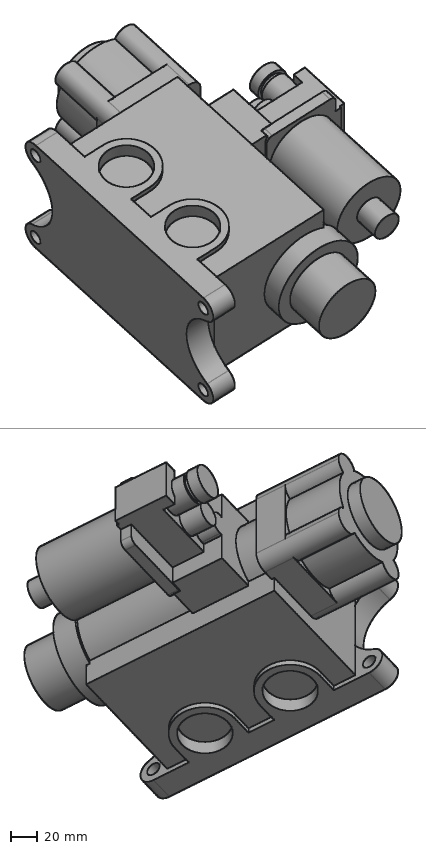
import cadquery as cq
import math


plate_length = 225.7
plate_height = 120.0
plate_thickness = 21.5
lug_radius = 12.2
bolt_hole_diameter = 11.5
scallop_depth = 32.3

block_length = 175.5
block_height = 110.5
block_back = 131.0
port_spacing = 79.5
port_axis_y = 40.0
port_boss_radius = 28.0
port_hole_diameter = 42.5
port_hole_depth = 12.5

spool_axis_y = 111.3
spool_body_radius = 36.7
end_cap_radius = 28.2
left_cap_start = -173.7
right_cap_end = left_cap_start + 313.5
left_housing_start = -162.0
left_housing_width = 81.2
left_housing_height = 82.0
left_housing_corner = 11.3
left_body_radius = 39.2
left_flange_start = -112.2
left_flange_end = -85.3
right_flange_radius = 39.5
right_flange_start = 84.3
right_flange_end = 105.0

bracket_start = -63.5
bracket_end = -11.5
bracket_back = 166.8
bracket_height = 71.0
head_start = -46.7
head_back = 232.5
head_height = 37.0
overhang_start = -57.0
overhang_front = 221.3

flange_start = -17.5
flange_end = -7.8
lip_start = -9.7
flange_height = 72.7
flange_width = 69.0
flange_corner = 5.5
lip_overlap = 2.8
tongue_back = 228.0
coil_axis_y = 188.0
coil_radius = 31.7
coil_end = 73.5
stud_radius = 12.0
stud_end = 95.0

main_connector_y = 212.2
main_connector_radius = 13.2
main_connector_start = -68.3
connector_neck_radius = 11.3
connector_cap_radius = 14.0
connector_cap_start = -81.8
connector_cap_end = -71.8
plug_radius = 10.5
plug_y = 189.5
upper_plug_start = -56.0
upper_plug_z = 1.3
lower_plug_start = -66.5
lower_plug_z = -7.0
tab_radius = 10.0
tab_axis_y = 169.5


def box(x0, x1, y0, y1, height):
    """Box between the given X and Y limits, centred on Z = 0."""
    return cq.Workplane("XY").box(x1 - x0, y1 - y0, height).translate(((x0 + x1) / 2, (y0 + y1) / 2, 0))


def x_cylinder(x0, x1, radius, y, z=0):
    """Cylinder along X from x0 to x1."""
    return cq.Workplane("YZ", origin=(x0, y, z)).circle(radius).extrude(x1 - x0)


def make_plate():
    """Plate with four round bolt lugs and an arc scallop, tangent to the lugs, in each end."""
    bolt_x = plate_length / 2 - lug_radius
    bolt_z = plate_height / 2 - lug_radius
    scallop_x = plate_length / 2 - scallop_depth
    offset = scallop_x - bolt_x
    scallop_radius = (offset**2 + bolt_z**2 - lug_radius**2) / (2 * (lug_radius - offset))
    center_x = scallop_x + scallop_radius
    share = lug_radius / (lug_radius + scallop_radius)
    tangent_x = bolt_x + share * (center_x - bolt_x)
    tangent_z = bolt_z * (1 - share)
    top_angle = math.pi / 2
    tangent_angle = math.atan2(-bolt_z, center_x - bolt_x)
    middle_angle = (top_angle + tangent_angle) / 2
    middle_x = bolt_x + lug_radius * math.cos(middle_angle)
    middle_z = bolt_z + lug_radius * math.sin(middle_angle)
    top = plate_height / 2

    return (
        cq.Workplane("XZ")
        .moveTo(-bolt_x, top)
        .lineTo(bolt_x, top)
        .threePointArc((middle_x, middle_z), (tangent_x, tangent_z))
        .threePointArc((scallop_x, 0), (tangent_x, -tangent_z))
        .threePointArc((middle_x, -middle_z), (bolt_x, -top))
        .lineTo(-bolt_x, -top)
        .threePointArc((-middle_x, -middle_z), (-tangent_x, -tangent_z))
        .threePointArc((-scallop_x, 0), (-tangent_x, tangent_z))
        .threePointArc((-middle_x, middle_z), (-bolt_x, top))
        .close()
        .rect(2 * bolt_x, 2 * bolt_z, forConstruction=True)
        .vertices()
        .circle(bolt_hole_diameter / 2)
        .extrude(-plate_thickness)
    )


def make_manifold():
    """Block with two round-ended port bosses that stand proud of its +Z and -Z faces."""
    body = box(-block_length / 2, block_length / 2, plate_thickness, block_back, block_height)
    for x in (-port_spacing / 2, port_spacing / 2):
        boss = box(x - port_boss_radius, x + port_boss_radius, plate_thickness, port_axis_y, plate_height)
        boss_end = (
            cq.Workplane("XY", origin=(x, port_axis_y, -plate_height / 2))
            .circle(port_boss_radius)
            .extrude(plate_height)
        )
        body = body.union(boss).union(boss_end)
    return body


def cut_ports(body):
    """Blind ports in the bosses on the +Z and -Z faces."""
    for x in (-port_spacing / 2, port_spacing / 2):
        for bottom in (plate_height / 2 - port_hole_depth, -plate_height / 2):
            port = (
                cq.Workplane("XY", origin=(x, port_axis_y, bottom))
                .circle(port_hole_diameter / 2)
                .extrude(port_hole_depth)
            )
            body = body.cut(port)
    return body


def make_spool():
    """Round spool body with a four-post housing at -X, and a round flange and cap at +X."""
    housing = (
        cq.Workplane("YZ", origin=(left_flange_start, spool_axis_y, 0))
        .rect(left_housing_width, left_housing_height)
        .extrude(left_flange_end - left_flange_start)
        .edges("|X")
        .chamfer(left_housing_corner)
    )
    posts = (
        cq.Workplane("YZ", origin=(left_housing_start, spool_axis_y, 0))
        .rect(
            left_housing_width - 2 * left_housing_corner,
            left_housing_height - 2 * left_housing_corner,
            forConstruction=True,
        )
        .vertices()
        .circle(left_housing_corner)
        .extrude(left_flange_end - left_housing_start)
    )
    return (
        x_cylinder(left_flange_end, right_flange_start, spool_body_radius, spool_axis_y)
        .union(x_cylinder(left_housing_start, left_flange_start, left_body_radius, spool_axis_y))
        .union(housing)
        .union(posts)
        .union(x_cylinder(left_cap_start, left_housing_start, end_cap_radius, spool_axis_y))
        .union(x_cylinder(right_flange_start, right_flange_end, right_flange_radius, spool_axis_y))
        .union(x_cylinder(right_flange_end, right_cap_end, end_cap_radius, spool_axis_y))
    )


def make_head():
    """Bracket on the block carrying the connector body with its overhang at the back."""
    return (
        box(bracket_start, bracket_end, spool_axis_y, bracket_back, bracket_height)
        .union(box(head_start, lip_start, bracket_back, head_back, head_height))
        .union(box(overhang_start, head_start, overhang_front, head_back, head_height))
        .union(box(lip_start, flange_end, coil_axis_y, tongue_back, head_height))
    )


def make_coil():
    """Rounded flange with a thin lip, then the coil and its stud."""
    flange = (
        cq.Workplane("YZ", origin=(flange_start, coil_axis_y, 0))
        .rect(flange_width, flange_height)
        .extrude(flange_end - flange_start)
        .edges("|X")
        .fillet(flange_corner)
    )
    flange_front = coil_axis_y - flange_width / 2
    relief = box(flange_start, lip_start, flange_front, flange_front + lip_overlap, flange_height)
    return (
        flange.cut(relief)
        .union(x_cylinder(flange_end, coil_end, coil_radius, coil_axis_y))
        .union(x_cylinder(coil_end, stud_end, stud_radius, coil_axis_y))
    )


def make_connectors():
    """Main cable connector, two plugs and a round-ended tab."""
    return (
        x_cylinder(main_connector_start, head_start, main_connector_radius, main_connector_y)
        .union(x_cylinder(connector_cap_end, main_connector_start, connector_neck_radius, main_connector_y))
        .union(x_cylinder(connector_cap_start, connector_cap_end, connector_cap_radius, main_connector_y))
        .union(x_cylinder(upper_plug_start, head_start, plug_radius, plug_y, upper_plug_z))
        .union(x_cylinder(lower_plug_start, head_start, plug_radius, plug_y, lower_plug_z))
        .union(x_cylinder(bracket_start, head_start, tab_radius, tab_axis_y))
        .union(box(bracket_start, head_start, bracket_back, tab_axis_y, 2 * tab_radius))
    )


result = make_plate().union(make_manifold())
for section in (make_spool(), make_head(), make_coil(), make_connectors()):
    result = result.union(section)
result = cut_ports(result)